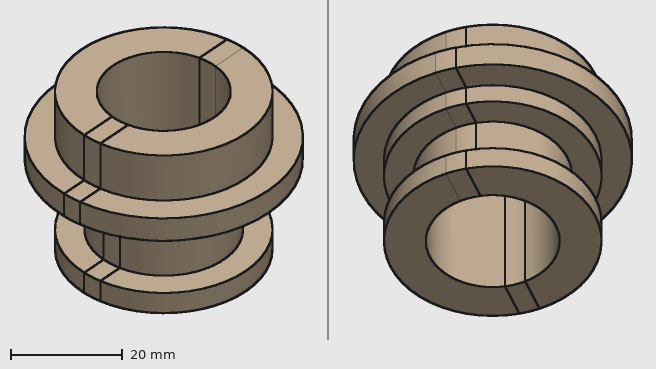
import cadquery as cq

flange_diameter = 49.9
collar_diameter = 39.0
waist_diameter = 28.5
bore_diameter = 24.0

foot_height = 4.5
waist_height = 11.55
shoulder_height = 4.0
flange_height = 5.0
neck_height = 10.0

spacer_width = 3.85

steps = [
    (collar_diameter, foot_height),
    (waist_diameter, waist_height),
    (collar_diameter, shoulder_height),
    (flange_diameter, flange_height),
    (collar_diameter, neck_height),
]
total_height = sum(height for _, height in steps)


def make_sleeve():
    """Whole stepped sleeve, standing on Z = 0, with its through bore."""
    sleeve = cq.Workplane("XY")
    base = 0.0
    for diameter, height in steps:
        sleeve = sleeve.union(cq.Workplane("XY").workplane(offset=base).circle(diameter / 2).extrude(height))
        base += height
    bore = cq.Workplane("XY").circle(bore_diameter / 2).extrude(total_height)
    return sleeve.cut(bore)


def make_half_sleeve(side):
    """Part of the sleeve beyond the spacer strip, on the +X (1) or -X (-1) side."""
    region_width = (flange_diameter - spacer_width) / 2
    region = (
        cq.Workplane("XY")
        .center(side * (spacer_width + region_width) / 2, 0)
        .rect(region_width, flange_diameter)
        .extrude(total_height)
    )
    return make_sleeve().intersect(region)


def make_spacer(side):
    """Strip of the sleeve wall on the +Y (1) or -Y (-1) side."""
    region = (
        cq.Workplane("XY")
        .center(0, side * flange_diameter / 4)
        .rect(spacer_width, flange_diameter / 2)
        .extrude(total_height)
    )
    return make_sleeve().intersect(region)


left_half = make_half_sleeve(-1)

right_half = make_half_sleeve(1).union(make_spacer(1), clean=False)

front_spacer = make_spacer(-1)

bodies = [left_half, right_half, front_spacer]
result = cq.Compound.makeCompound([body.solids().val() for body in bodies])